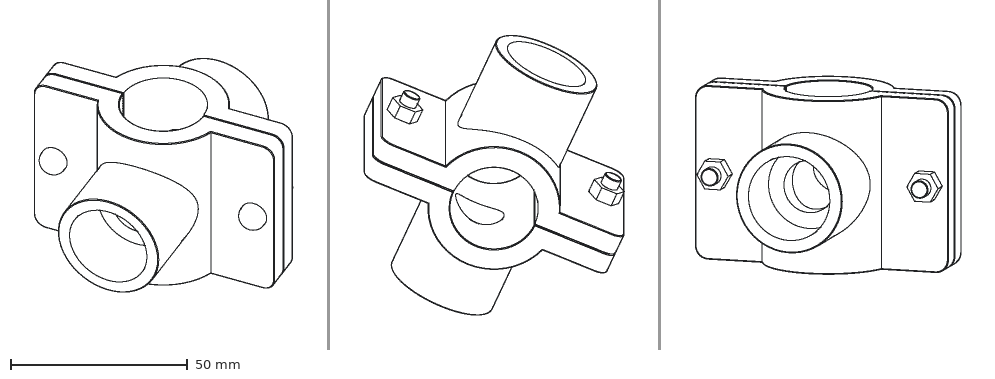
import cadquery as cq
import math

flange_width = 75.0
clamp_height = 50.0
branch_span = 74.0
branch_reach = branch_span / 2

barrel_diameter = 37.5
pipe_bore_diameter = 25.0
flange_thickness = 6.2
flange_corner_radius = 3.75
edge_chamfer = 0.25

branch_diameter = 31.35
socket_diameter = 24.15
socket_floor = 18.0
port_diameter = 15.0

fastener_spacing = 62.25
head_diameter = 8.0
head_height = 4.0
head_crown_radius = 3.0
nut_flat_width = 8.0
nut_height = 4.0
shank_diameter = 5.0
shank_projection = 3.0

fastener_positions = [-fastener_spacing / 2, fastener_spacing / 2]
nut_face = flange_thickness + nut_height


def outward_plane(x, y):
    """Sketch plane at (x, y, 0) whose normal points along -Y."""
    return cq.Workplane(cq.Plane(origin=(x, y, 0), xDir=(1, 0, 0), normal=(0, -1, 0)))


def barrel():
    """Solid round barrel along Z with chamfered rims."""
    return (
        cq.Workplane("XY")
        .circle(barrel_diameter / 2)
        .extrude(clamp_height / 2, both=True)
        .edges()
        .chamfer(edge_chamfer)
    )


def flange():
    """Plate on the -Y side of the parting plane, chamfered around its outer face."""
    return (
        outward_plane(0, 0)
        .rect(flange_width, clamp_height)
        .extrude(flange_thickness)
        .edges("|Y")
        .fillet(flange_corner_radius)
        .faces("<Y")
        .edges()
        .chamfer(edge_chamfer)
    )


def branch_tube():
    """Solid branch pointing along -Y, chamfered at its free end."""
    return (
        outward_plane(0, 0)
        .circle(branch_diameter / 2)
        .extrude(branch_reach)
        .faces("<Y")
        .edges()
        .chamfer(edge_chamfer)
    )


def clamp_shell():
    """Half of the clamp on the -Y side, without fasteners."""
    opposite_side = cq.Workplane("XY").box(
        barrel_diameter, barrel_diameter, clamp_height, centered=(True, False, True)
    )
    pipe_bore = (
        cq.Workplane("XY")
        .circle(pipe_bore_diameter / 2)
        .extrude(clamp_height / 2, both=True)
    )
    socket = (
        outward_plane(0, -socket_floor)
        .circle(socket_diameter / 2)
        .extrude(branch_reach - socket_floor)
    )
    port = outward_plane(0, 0).circle(port_diameter / 2).extrude(branch_reach)

    shell = barrel().cut(opposite_side).union(flange()).union(branch_tube())
    shell = shell.cut(pipe_bore)
    shell = shell.faces(">Y").edges().chamfer(edge_chamfer)
    return shell.cut(socket).cut(port)


def bore_rim_bevel():
    """Conical cutter that bevels the pipe bore at the +Z rim."""
    return cq.Workplane("XY").add(
        cq.Solid.makeCone(
            pipe_bore_diameter / 2,
            pipe_bore_diameter / 2 + edge_chamfer,
            edge_chamfer,
            pnt=cq.Vector(0, 0, clamp_height / 2 - edge_chamfer),
        )
    )


def screw_head(x):
    """Domed head with a small flat crown, seated on the flange."""
    return (
        outward_plane(x, -flange_thickness)
        .circle(head_diameter / 2)
        .extrude(head_height)
        .faces("<Y")
        .edges()
        .fillet(head_crown_radius)
    )


def nut_and_shank_end(x):
    """Hexagon nut with corners along X and the chamfered shank end beyond it."""
    corner_diameter = nut_flat_width / math.cos(math.pi / 6)
    nut = outward_plane(x, -flange_thickness).polygon(6, corner_diameter).extrude(nut_height)
    shank_end = (
        outward_plane(x, -nut_face)
        .circle(shank_diameter / 2)
        .extrude(shank_projection)
        .faces("<Y")
        .edges()
        .chamfer(edge_chamfer)
    )
    return nut.union(shank_end)


upper_bevel = bore_rim_bevel()
front_half = clamp_shell().cut(upper_bevel).cut(upper_bevel.mirror("XY"))
for x in fastener_positions:
    front_half = front_half.union(screw_head(x))

rear_half = clamp_shell()
for x in fastener_positions:
    rear_half = rear_half.union(nut_and_shank_end(x))
rear_half = rear_half.rotate((0, 0, 0), (0, 0, 1), 180)

result = cq.Compound.makeCompound([front_half.val(), rear_half.val()])